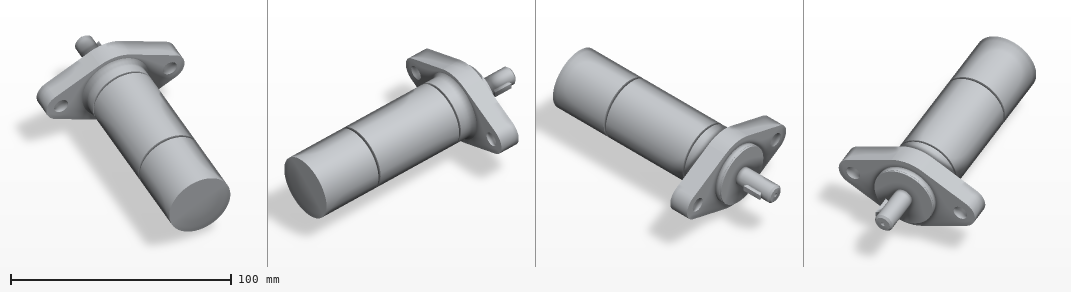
import cadquery as cq
import math

total_length = 118.7
pilot_start = 19.7
pilot_lead_end = 20.5
flange_start = 23.0
flange_thickness = 10.0
flange_end = flange_start + flange_thickness
neck_end = 35.5
front_groove_start = 41.0
front_groove_width = 1.1
rear_groove_start = 87.4
rear_groove_width = 1.3

shaft_diameter = 9.0
tip_chamfer = 1.0
pilot_diameter = 30.0
pilot_lead_diameter = 29.8
body_diameter = 31.0
neck_diameter = 33.7
rear_groove_diameter = 26.8
front_groove_shallow_diameter = 28.0
front_groove_deep_diameter = 25.9
center_hole_diameter = 1.0
center_hole_depth = 2.4
countersink_diameter = 2.0
countersink_angle = 60

flange_height = 37.9
flange_width = 70.0
bolt_offset = 27.5
bolt_hole_diameter = 7.0

key_start = 4.2
key_length = 9.7
key_disc_diameter = 10.1
key_width = 3.0
key_top = 5.9


def cylinder(start, end, diameter):
    return cq.Workplane("YZ").workplane(offset=start).circle(diameter / 2).extrude(end - start)


def make_shaft():
    return (
        cylinder(0, pilot_start, shaft_diameter)
        .faces("<X")
        .chamfer(tip_chamfer)
        .faces("<X")
        .workplane(origin=(0, 0, 0))
        .cskHole(center_hole_diameter, countersink_diameter, countersink_angle, center_hole_depth)
    )


def make_key():
    """Disc segment whose flat top is a chord just below the disc's diameter."""
    disc_radius = key_disc_diameter / 2
    chord_drop = math.sqrt(disc_radius**2 - (key_length / 2) ** 2)
    disc_center_y = key_top + chord_drop
    middle_x = key_start + key_length / 2
    return (
        cq.Workplane("XY")
        .workplane(offset=-key_width / 2)
        .moveTo(key_start, key_top)
        .threePointArc((middle_x, disc_center_y - disc_radius), (key_start + key_length, key_top))
        .close()
        .extrude(key_width)
    )


def make_flange():
    middle_radius = flange_height / 2
    end_radius = flange_width / 2 - bolt_offset
    tangent_angle = math.asin((middle_radius - end_radius) / bolt_offset)
    middle_y = middle_radius * math.sin(tangent_angle)
    middle_z = middle_radius * math.cos(tangent_angle)
    end_y = bolt_offset + end_radius * math.sin(tangent_angle)
    end_z = end_radius * math.cos(tangent_angle)
    return (
        cq.Workplane("YZ")
        .workplane(offset=flange_start)
        .moveTo(-middle_y, middle_z)
        .threePointArc((0, middle_radius), (middle_y, middle_z))
        .lineTo(end_y, end_z)
        .threePointArc((flange_width / 2, 0), (end_y, -end_z))
        .lineTo(middle_y, -middle_z)
        .threePointArc((0, -middle_radius), (-middle_y, -middle_z))
        .lineTo(-end_y, -end_z)
        .threePointArc((-flange_width / 2, 0), (-end_y, end_z))
        .close()
        .pushPoints([(-bolt_offset, 0), (bolt_offset, 0)])
        .circle(bolt_hole_diameter / 2)
        .extrude(flange_thickness)
    )


def make_body():
    """Motor body, with a concave neck that runs smoothly into its front end."""
    body_radius = body_diameter / 2
    return (
        cq.Workplane("XY")
        .moveTo(total_length, 0)
        .lineTo(total_length, body_radius)
        .lineTo(neck_end, body_radius)
        .tangentArcPoint((flange_end, neck_diameter / 2), relative=False)
        .lineTo(flange_end, 0)
        .close()
        .revolve(360, (0, 0, 0), (1, 0, 0))
    )


def make_groove(start, width, front_diameter, rear_diameter):
    """Ring cutter whose floor runs straight from the front to the rear diameter."""
    end = start + width
    return (
        cq.Workplane("XY")
        .moveTo(start, front_diameter / 2)
        .lineTo(start, body_diameter / 2)
        .lineTo(end, body_diameter / 2)
        .lineTo(end, rear_diameter / 2)
        .close()
        .revolve(360, (0, 0, 0), (1, 0, 0))
    )


pilot_lead = cylinder(pilot_start, pilot_lead_end, pilot_lead_diameter)
pilot = cylinder(pilot_lead_end, flange_start, pilot_diameter)

front_groove = make_groove(
    front_groove_start, front_groove_width, front_groove_shallow_diameter, front_groove_deep_diameter
)
rear_groove = make_groove(rear_groove_start, rear_groove_width, rear_groove_diameter, rear_groove_diameter)

result = (
    make_shaft()
    .union(make_key())
    .union(pilot_lead)
    .union(pilot)
    .union(make_flange())
    .union(make_body())
    .cut(front_groove)
    .cut(rear_groove)
)